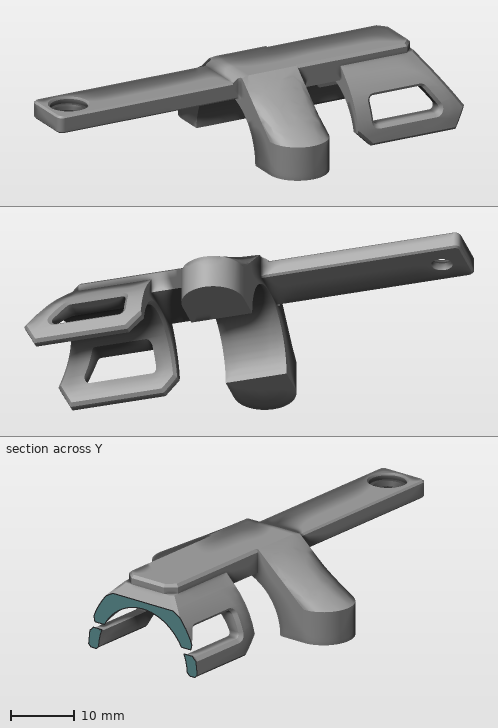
import cadquery as cq
import math


top_z = 13.5
beam_bottom_z = 9.6
tail_top_z = 12.5
tail_half_width = 4.5
beam_half_width = 5.0
beam_chamfer = 0.45
tail_chamfer = 0.3
tail_corner_radius = 1.0
overall_length = 69.84
clip_tip_y = 32.3
tail_end_y = clip_tip_y - overall_length
beam_corner_x = 1.7
beam_corner_y = 1.5

foot_radius = 5.0
foot_reach = 38.48 / 2
foot_center_x = foot_reach - foot_radius
foot_height = 5.6
foot_inner_x = 8.8
arch_radius = 9.5
step_start_y = -3.7
step_end_y = -6.2
step_fillet = 0.4

clip_inner_radius = 9.0
clip_half_width = 11.1
clip_roof_z = 12.0
clip_rim_x = 6.55
clip_rim_z = clip_roof_z - (clip_rim_x - beam_half_width)
clip_back_y = 12.9
clip_tip_z = 3.5
clip_slope_run = 5.9
beam_end_y = clip_tip_y - clip_slope_run
clip_toe_y = 30.5
clip_heel = 2.3
clip_chamfer = 0.5

window_bottom_z = 3.2
window_top_z = 7.5
window_back_y = 16.0
window_front_y = 28.5
window_radius = 0.8
window_chamfer = 0.55

screw_y = tail_end_y + 4.2
screw_diameter = 3.4
cone_diameter = 4.7
head_diameter = 6.0
head_chamfer = 0.3
head_depth = 1.0


def box(x_half, y_min, y_max, z_min, z_max):
    """Box symmetric about X = 0."""
    size = (2 * x_half, y_max - y_min, z_max - z_min)
    return cq.Workplane("XY").box(*size, centered=(True, False, False)).translate((0, y_min, z_min))


def mirrored(half):
    """Add the mirror image across X = 0."""
    return half.union(half.mirror("YZ"))


def make_tail():
    """Narrow bar with rounded end corners and chamfered edges."""
    tail = box(tail_half_width, tail_end_y, 0, beam_bottom_z, tail_top_z)
    tail = tail.edges("|Z and <Y").fillet(tail_corner_radius)
    return tail.faces("<Z or >Z").edges("not >Y").chamfer(tail_chamfer)


def make_beam():
    """Wide bar from the bridge to the clip, with cut front corners."""
    beam = box(beam_half_width, 0, beam_end_y, beam_bottom_z, top_z)
    beam = beam.edges("|Z and >Y").chamfer(beam_corner_y, beam_corner_x)
    return beam.faces(">Z").edges("not <Y").chamfer(beam_chamfer)


def make_leg():
    """Upright rounded foot and the ruled body that joins it to the middle of the bridge."""
    r = foot_radius
    foot = (
        cq.Workplane("XY")
        .moveTo(foot_inner_x, -r)
        .lineTo(foot_center_x, -r)
        .threePointArc((foot_reach, 0), (foot_center_x, r))
        .lineTo(foot_inner_x, r)
        .close()
        .extrude(foot_height)
    )

    def side_corners(y):
        return [
            cq.Vector(beam_half_width, y, beam_bottom_z),
            cq.Vector(beam_half_width, y, top_z),
            cq.Vector(foot_center_x, y, foot_height),
            cq.Vector(foot_inner_x, y, foot_height),
        ]

    def flat_face(*edges):
        return cq.Face.makeFromWires(cq.Wire.assembleEdges(list(edges)))

    front = side_corners(-r)
    back = side_corners(r)
    cross_edges = [cq.Edge.makeLine(start, end) for start, end in zip(front, back)]
    inner_low, beam_top, _, inner_shoulder = cross_edges
    round_end = cq.Edge.makeThreePointArc(front[2], cq.Vector(foot_reach, 0, foot_height), back[2])
    front_edges = [cq.Edge.makeLine(front[i], front[(i + 1) % 4]) for i in range(4)]
    back_edges = [cq.Edge.makeLine(back[i], back[(i + 1) % 4]) for i in range(4)]
    faces = [
        flat_face(*front_edges),
        flat_face(*back_edges),
        flat_face(inner_low, front_edges[0], beam_top, back_edges[0]),
        flat_face(inner_shoulder, front_edges[2], round_end, back_edges[2]),
        flat_face(inner_low, front_edges[3], inner_shoulder, back_edges[3]),
        cq.Face.makeRuledSurface(beam_top, round_end),
    ]
    body = cq.Solid.makeSolid(cq.Shell.makeShell(faces))
    return foot.union(cq.Workplane(body))


def make_bridge():
    """Two legs joined over an arch."""
    r = foot_radius
    core = (
        cq.Workplane("XZ", origin=(0, r, 0))
        .polyline(
            [
                (-foot_inner_x, 0),
                (-foot_inner_x, foot_height),
                (-beam_half_width, beam_bottom_z),
                (-beam_half_width, top_z),
                (beam_half_width, top_z),
                (beam_half_width, beam_bottom_z),
                (foot_inner_x, foot_height),
                (foot_inner_x, 0),
            ]
        )
        .close()
        .extrude(2 * r)
    )
    arch = cq.Workplane("XZ", origin=(0, r, 0)).circle(arch_radius).extrude(2 * r)
    return core.union(mirrored(make_leg())).cut(arch)


def make_step():
    """Block between the bridge top and the tail top, and the cutter that rounds it off."""
    run = step_start_y - step_end_y
    drop = top_z - tail_top_z
    radius = (run**2 + drop**2) / (2 * drop)
    half_angle = math.asin(run / radius) / 2
    mid_y = step_start_y - radius * math.sin(half_angle)
    mid_z = top_z - radius * (1 - math.cos(half_angle))
    profile = (
        cq.Workplane("YZ", origin=(-foot_reach, 0, 0))
        .moveTo(step_start_y, top_z)
        .threePointArc((mid_y, mid_z), (step_end_y, tail_top_z))
        .lineTo(step_end_y, top_z)
        .close()
    )
    cutter = profile.extrude(2 * foot_reach)
    block = box(tail_half_width, step_end_y, 0, tail_top_z - tail_chamfer, top_z)
    return block, cutter


def make_corner_fillet():
    """Concave fillet in the upright corner between the bridge and the tail."""
    f = step_fillet
    return (
        cq.Workplane("XY", origin=(tail_half_width, -foot_radius, beam_bottom_z))
        .lineTo(f, 0)
        .threePointArc((f * (1 - math.sqrt(0.5)), -f * (1 - math.sqrt(0.5))), (0, -f))
        .close()
        .extrude(top_z - beam_bottom_z)
    )


def make_clip_section():
    """Arched clip section, extruded over the whole clip length."""
    rise = clip_rim_z
    inset = clip_half_width - clip_rim_x
    flank_radius = (rise**2 + inset**2) / (2 * inset)
    half_angle = math.asin(rise / flank_radius) / 2
    flank_x = clip_half_width - flank_radius * (1 - math.cos(half_angle))
    flank_z = flank_radius * math.sin(half_angle)
    section = (
        cq.Workplane("XZ", origin=(0, clip_tip_y, 0))
        .moveTo(-clip_half_width, 0)
        .threePointArc((-flank_x, flank_z), (-clip_rim_x, clip_rim_z))
        .lineTo(-beam_half_width, clip_roof_z)
        .lineTo(beam_half_width, clip_roof_z)
        .lineTo(clip_rim_x, clip_rim_z)
        .threePointArc((flank_x, flank_z), (clip_half_width, 0))
        .lineTo(clip_inner_radius, 0)
        .threePointArc((0, clip_inner_radius), (-clip_inner_radius, 0))
        .close()
    )
    return section.extrude(clip_tip_y - clip_back_y)


def make_window():
    """Cutter for the windows through both flanks of the clip."""
    slope = clip_slope_run / (clip_roof_z - clip_tip_z)
    window_top_y = window_front_y - (window_top_z - window_bottom_z) * slope
    return (
        cq.Workplane("YZ", origin=(-foot_reach, 0, 0))
        .polyline(
            [
                (window_back_y, window_bottom_z),
                (window_front_y, window_bottom_z),
                (window_top_y, window_top_z),
                (window_back_y, window_top_z),
            ]
        )
        .close()
        .extrude(2 * foot_reach)
        .edges("|X")
        .fillet(window_radius)
    )


def make_clip():
    """Clip trimmed to its side outline, with chamfered rims and windows."""
    outline = (
        cq.Workplane("YZ", origin=(-foot_reach, 0, 0))
        .polyline(
            [
                (clip_back_y, clip_heel),
                (clip_back_y + clip_heel, 0),
                (clip_toe_y, 0),
                (clip_tip_y, clip_tip_z),
                (beam_end_y, clip_roof_z),
                (clip_back_y, clip_roof_z),
            ]
        )
        .close()
        .extrude(2 * foot_reach)
    )
    clip = make_clip_section().intersect(outline)
    curved = clip.faces("%CYLINDER")
    flank_rims = curved.faces(">X or <X").edges("not (>Z or <Y)")
    inner_rims = curved.faces("not (>X or <X)").edges()
    clip = clip.newObject(flank_rims.vals() + inner_rims.vals()).chamfer(clip_chamfer)

    clip = clip.cut(make_window())
    openings = [face.innerWires() for face in clip.faces("%CYLINDER").vals()]
    window_rims = [edge for wires in openings if len(wires) == 1 for edge in wires[0].Edges()]
    return clip.newObject(window_rims).chamfer(window_chamfer)


def make_screw_hole():
    """Cutter for the through hole, its conical seat and the chamfered head recess."""
    screw_r = screw_diameter / 2
    cone_r = cone_diameter / 2
    head_r = head_diameter / 2
    seat_z = tail_top_z - head_depth
    return (
        cq.Workplane("XZ")
        .polyline(
            [
                (0, 0),
                (screw_r, 0),
                (screw_r, seat_z - (cone_r - screw_r)),
                (cone_r, seat_z),
                (head_r, seat_z),
                (head_r, tail_top_z - head_chamfer),
                (head_r + head_chamfer, tail_top_z),
                (0, tail_top_z),
            ]
        )
        .close()
        .revolve(360, (0, 0, 0), (0, 1, 0))
        .translate((0, screw_y, 0))
    )


step_block, step_cutter = make_step()
bridge = make_bridge()
result = (
    bridge.union(step_block)
    .union(mirrored(make_corner_fillet()))
    .cut(step_cutter)
    .union(make_tail())
    .union(make_beam())
    .union(make_clip())
    .cut(make_screw_hole())
)